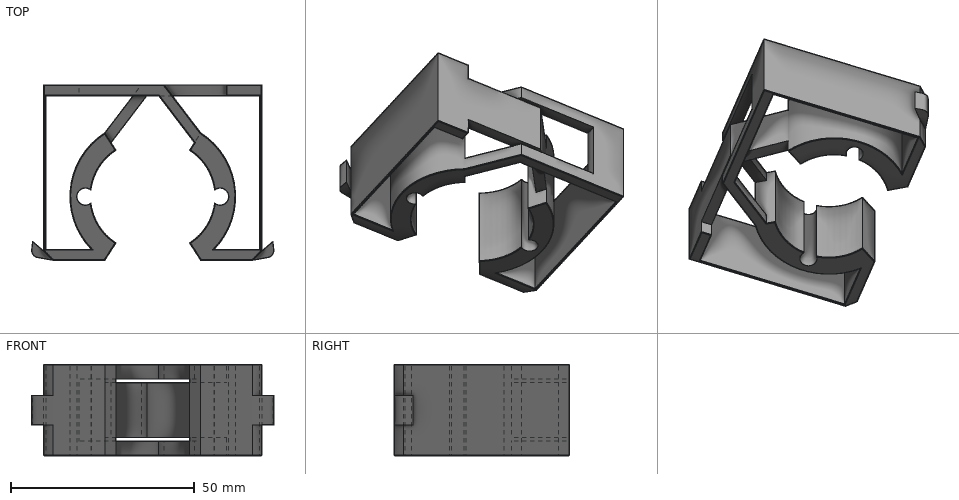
import cadquery as cq
import math


height = 25.0
half_width = 29.7
front_y = -17.4
back_y = 30.45
side_wall = 0.65
plate = 3.0
inner_half_width = half_width - side_wall
back_inner_y = back_y - plate
front_inner_y = front_y + plate
corner_bevel = 2.5
rim_chamfer = 0.2

jaw_offset = 2.0
jaw_outer_radius = 20.6
jaw_inner_radius = 15.0
jaw_half_angle = math.degrees(math.asin(-front_y / jaw_outer_radius))
groove_radius = 2.3
groove_x = 18.35

bend_x = 3.1
post_x = 20.1
window_height = 16.9
band_height = 15.0

hook_height = 8.0
hook_tip = (-32.75, -12.2)
hook_radius = 2.0
hook_reach = 3.3
hook_centre = (-half_width - hook_reach + hook_radius, -14.65)
hook_arc_angles = (173.5, 215.0, 259.5)


def polar(centre, radius, angle):
    """Point at an angle in degrees on a circle."""
    turn = math.radians(angle)
    return centre[0] + radius * math.cos(turn), centre[1] + radius * math.sin(turn)


def prism(outline, depth):
    """Extrude a closed outline equally above and below mid height."""
    return outline.extrude(depth / 2, both=True)


def polygon(points, depth):
    return prism(cq.Workplane("XY").polyline(points).close(), depth)


def mirrored_in_x(body):
    return body.mirror("YZ")


def left_shell():
    """Side wall with the bevelled front plate, ending at the jaw's front corner."""
    plate_end_x = -jaw_offset - jaw_outer_radius * math.cos(math.radians(jaw_half_angle))
    return polygon(
        [
            (-half_width, back_y),
            (-half_width, front_y + corner_bevel),
            (-half_width + corner_bevel, front_y),
            (plate_end_x, front_y),
            (plate_end_x, front_inner_y),
            (-inner_half_width, front_inner_y),
            (-inner_half_width, back_y),
        ],
        height,
    )


def left_jaw():
    """Arc with radial ends."""
    centre = (-jaw_offset, 0)
    first = 180 - jaw_half_angle
    last = 180 + jaw_half_angle
    outline = (
        cq.Workplane("XY")
        .moveTo(*polar(centre, jaw_outer_radius, first))
        .threePointArc(polar(centre, jaw_outer_radius, 180), polar(centre, jaw_outer_radius, last))
        .lineTo(*polar(centre, jaw_inner_radius, last))
        .threePointArc(polar(centre, jaw_inner_radius, 180), polar(centre, jaw_inner_radius, first))
        .close()
    )
    return prism(outline, height)


def link(start_x, depth):
    """Back plate from start_x to the bend, then a strut down to the end of the right jaw."""
    jaw_centre = (jaw_offset, 0)
    outer_end = polar(jaw_centre, jaw_outer_radius, jaw_half_angle)
    run = outer_end[0] - bend_x
    drop = back_y - outer_end[1]
    strut_angle = math.atan2(drop, run)
    end_width = plate / math.sin(strut_angle + math.radians(jaw_half_angle))
    inner_end = polar(jaw_centre, jaw_outer_radius - end_width, jaw_half_angle)
    inner_bend_x = inner_end[0] - (back_inner_y - inner_end[1]) * run / drop
    return polygon(
        [
            (start_x, back_y),
            (bend_x, back_y),
            outer_end,
            inner_end,
            (inner_bend_x, back_inner_y),
            (start_x, back_inner_y),
        ],
        depth,
    )


def right_post():
    """Full-height end of the back plate beside the right wall."""
    return polygon(
        [
            (post_x, back_inner_y),
            (half_width, back_inner_y),
            (half_width, back_y),
            (post_x, back_y),
        ],
        height,
    )


def left_hook():
    """Snap hook swept back from the front bevel, with a rounded nose."""
    nose_start, nose_middle, nose_end = (polar(hook_centre, hook_radius, a) for a in hook_arc_angles)
    outline = (
        cq.Workplane("XY")
        .moveTo(-half_width + corner_bevel, front_y)
        .lineTo(-half_width, front_y + corner_bevel)
        .lineTo(*hook_tip)
        .lineTo(*nose_start)
        .threePointArc(nose_middle, nose_end)
        .close()
    )
    return prism(outline, hook_height)


left_side = left_shell().union(left_jaw())
walls = left_side.union(mirrored_in_x(left_side))
walls = walls.union(link(-half_width, height)).union(right_post()).clean()
walls = walls.faces(">Z or <Z").edges().chamfer(rim_chamfer)

window = link(-post_x, window_height)
band = mirrored_in_x(link(-post_x, band_height))
grooves = prism(
    cq.Workplane("XY").pushPoints([(-groove_x, 0), (groove_x, 0)]).circle(groove_radius),
    height,
)
hooks = left_hook().union(mirrored_in_x(left_hook()))

result = walls.cut(window).cut(grooves).union(band).union(hooks)